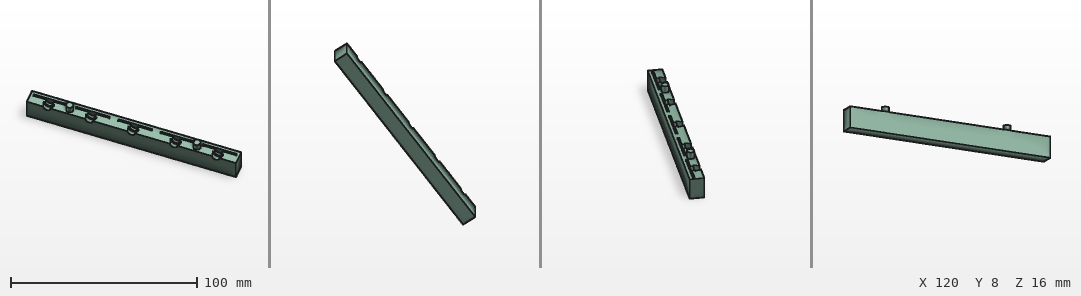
import cadquery as cq

length = 120.0
depth = 8.0
block_height = 12.0

seat_count = 5
seat_pitch = 24.2
mouth_diameter = 4.2
flare_diameter = 6.1
neck_diameter = 4.2
disc_diameter = 19.3
flare_end = 3.2
disc_start = 5.0
disc_thickness = 1.1

peg_diameter = 4.0
peg_height = 4.0
peg_y = 3.0
peg_x = 36.5


def make_seat_cutter(x):
    """Flared mouth, neck and disc turned about a Y axis lying in the top face."""
    disc_end = disc_start + disc_thickness
    return (
        cq.Workplane("XY", origin=(x, 0, block_height))
        .moveTo(0, 0)
        .lineTo(mouth_diameter / 2, 0)
        .lineTo(flare_diameter / 2, flare_end)
        .lineTo(neck_diameter / 2, flare_end)
        .lineTo(neck_diameter / 2, disc_start)
        .lineTo(disc_diameter / 2, disc_start)
        .lineTo(disc_diameter / 2, disc_end)
        .lineTo(0, disc_end)
        .close()
        .revolve(360, (0, 0, 0), (0, 1, 0))
    )


result = cq.Workplane("XY").box(length, depth, block_height, centered=(True, False, False))

for index in range(seat_count):
    seat_x = (index - (seat_count - 1) / 2) * seat_pitch
    result = result.cut(make_seat_cutter(seat_x))

pegs = (
    cq.Workplane("XY", origin=(0, 0, block_height))
    .pushPoints([(-peg_x, peg_y), (peg_x, peg_y)])
    .circle(peg_diameter / 2)
    .extrude(peg_height)
)
result = result.union(pegs)